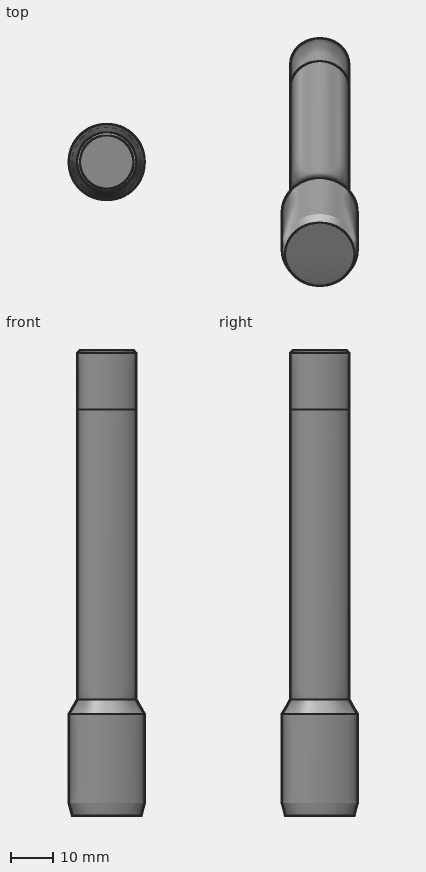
import cadquery as cq
import math

total_length = 110.0
shaft_radius = 14.0 / 2
head_radius = 18.0 / 2

tip_length = 14.0
lead_in_height = 3.0
head_top = 24.0
joint_height = total_length - tip_length

lead_in_angle = math.radians(15)
shoulder_angle = math.radians(30)
tip_chamfer = 0.7

bottom_radius = head_radius - lead_in_height * math.tan(lead_in_angle)
shoulder_height = (head_radius - shaft_radius) / math.tan(shoulder_angle)


def make_shank():
    """Turned body: tapered lead-in, thick head, conical shoulder and long shaft."""
    half_profile = [
        (0, 0),
        (bottom_radius, 0),
        (head_radius, lead_in_height),
        (head_radius, head_top),
        (shaft_radius, head_top + shoulder_height),
        (shaft_radius, joint_height),
        (0, joint_height),
    ]
    return cq.Workplane("XZ").polyline(half_profile).close().revolve(360, (0, 0), (0, 1))


def make_tip():
    """Short cylinder that continues the shaft, chamfered around its top edge."""
    cylinder = cq.Workplane("XY", origin=(0, 0, joint_height)).circle(shaft_radius).extrude(tip_length)
    return cylinder.faces(">Z").edges().chamfer(tip_chamfer)


shank = make_shank()
tip = make_tip()

result = cq.Compound.makeCompound([shank.val(), tip.val()])